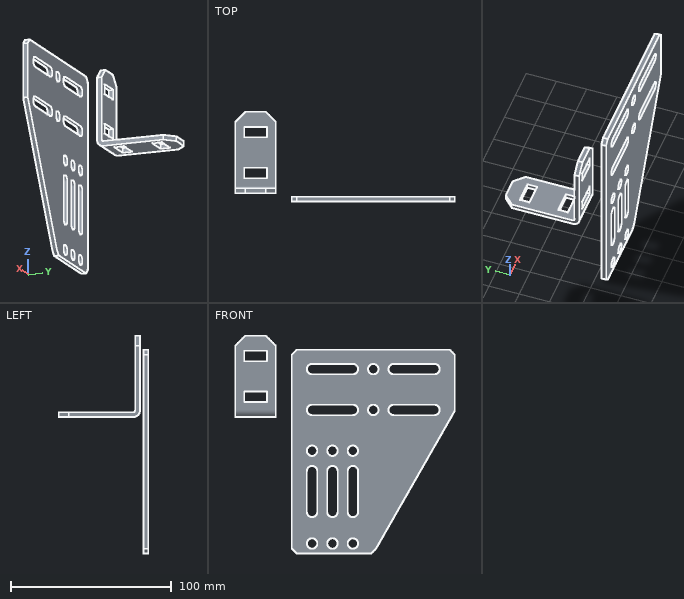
import cadquery as cq

PITCH = 25.4
HALF_PITCH = PITCH / 2
THICKNESS = PITCH / 8
HOLE_DIAMETER = PITCH / 4

TOTAL_LENGTH = 136.79
TOTAL_DEPTH = 55.97
TOTAL_HEIGHT = 135.75

PLATE_WIDTH = 4 * PITCH
PLATE_HEIGHT = 5 * PITCH
PLATE_BOTTOM_WIDTH = 2 * PITCH
TAPER_HEIGHT = 3.5 * PITCH
PLATE_CHAMFER = PITCH / 8
SLOT_LENGTH = 1.25 * PITCH
TOP_ROW_INSET = 12.1
BOTTOM_ROW_HEIGHT = PITCH / 4

BRACKET_WIDTH = PITCH
LEG_LENGTH = 2 * PITCH
LEG_CHAMFER = PITCH / 4
INNER_BEND_RADIUS = 1.2
OUTER_BEND_RADIUS = INNER_BEND_RADIUS + THICKNESS
WINDOW_WIDTH = 14.0
WINDOW_HEIGHT = PITCH / 4
WINDOW_INSET = HALF_PITCH

BRACKET_LEFT = PLATE_WIDTH - TOTAL_LENGTH
BRACKET_FRONT = TOTAL_DEPTH - LEG_LENGTH
BRACKET_BOTTOM = TOTAL_HEIGHT - LEG_LENGTH


def make_plate():
    """Upright plate with cut corners, a tapered right side, holes and slots."""
    taper_run = (PLATE_WIDTH - PLATE_BOTTOM_WIDTH) / TAPER_HEIGHT
    taper_end = PLATE_BOTTOM_WIDTH + taper_run * PLATE_CHAMFER
    outline = [
        (PLATE_CHAMFER, 0),
        (taper_end - PLATE_CHAMFER, 0),
        (taper_end, PLATE_CHAMFER),
        (PLATE_WIDTH, TAPER_HEIGHT),
        (PLATE_WIDTH, PLATE_HEIGHT - PLATE_CHAMFER),
        (PLATE_WIDTH - PLATE_CHAMFER, PLATE_HEIGHT),
        (PLATE_CHAMFER, PLATE_HEIGHT),
        (0, PLATE_HEIGHT - PLATE_CHAMFER),
        (0, PLATE_CHAMFER),
    ]

    first_row = PLATE_HEIGHT - TOP_ROW_INSET
    slot_rows = [first_row, first_row - PITCH]
    hole_row = first_row - 2 * PITCH
    upright_slot_row = first_row - 3 * PITCH

    columns = [HALF_PITCH * count for count in (1, 2, 3)]
    middle = PLATE_WIDTH / 2
    level_slots = [(x, z) for x in (PITCH, PLATE_WIDTH - PITCH) for z in slot_rows]
    upright_slots = [(x, upright_slot_row) for x in columns]
    holes = [(middle, z) for z in slot_rows]
    holes += [(x, z) for x in columns for z in (hole_row, BOTTOM_ROW_HEIGHT)]

    cutters = [
        cq.Workplane("XZ").pushPoints(level_slots).slot2D(SLOT_LENGTH, HOLE_DIAMETER),
        cq.Workplane("XZ").pushPoints(upright_slots).slot2D(SLOT_LENGTH, HOLE_DIAMETER, 90),
        cq.Workplane("XZ").pushPoints(holes).circle(HOLE_DIAMETER / 2),
    ]
    plate = cq.Workplane("XZ").polyline(outline).close().extrude(-THICKNESS)
    for cutter in cutters:
        plate = plate.cut(cutter.extrude(-THICKNESS))
    return plate


def leg_cutter(plane, depth):
    """Material removed from one leg: two end corners and two windows."""
    half_width = BRACKET_WIDTH / 2
    corner_start = LEG_LENGTH - LEG_CHAMFER
    cutter = (
        cq.Workplane(plane)
        .pushPoints([(0, LEG_LENGTH - WINDOW_INSET - count * PITCH) for count in (0, 1)])
        .rect(WINDOW_WIDTH, WINDOW_HEIGHT)
        .extrude(depth)
    )
    for side in (-1, 1):
        corner = [
            (side * half_width, corner_start),
            (side * half_width, LEG_LENGTH),
            (side * (half_width - LEG_CHAMFER), LEG_LENGTH),
        ]
        cutter = cutter.add(cq.Workplane(plane).polyline(corner).close().extrude(depth))
    return cutter.combine()


def make_bracket():
    """Right-angle bracket: an upright leg and a flat leg joined by a bend."""
    bent_strip = (
        cq.Workplane("YZ")
        .moveTo(OUTER_BEND_RADIUS, 0)
        .lineTo(LEG_LENGTH, 0)
        .lineTo(LEG_LENGTH, THICKNESS)
        .lineTo(OUTER_BEND_RADIUS, THICKNESS)
        .radiusArc((THICKNESS, OUTER_BEND_RADIUS), INNER_BEND_RADIUS)
        .lineTo(THICKNESS, LEG_LENGTH)
        .lineTo(0, LEG_LENGTH)
        .lineTo(0, OUTER_BEND_RADIUS)
        .radiusArc((OUTER_BEND_RADIUS, 0), -OUTER_BEND_RADIUS)
        .close()
        .extrude(BRACKET_WIDTH / 2, both=True)
    )
    return (
        bent_strip
        .cut(leg_cutter("XZ", -THICKNESS))
        .cut(leg_cutter("XY", THICKNESS))
        .translate((BRACKET_LEFT + BRACKET_WIDTH / 2, BRACKET_FRONT, BRACKET_BOTTOM))
    )


plate = make_plate()
bracket = make_bracket()
result = cq.Compound.makeCompound([plate.solids().val(), bracket.solids().val()])